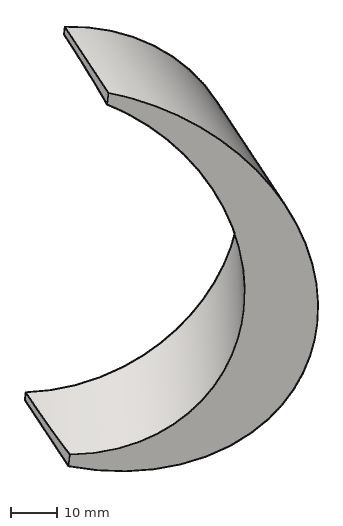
import cadquery as cq
import math

heading = 40
roll = 5.8

overall_height = 88.65
outer_radius = overall_height / (1 + math.cos(math.radians(roll)))
straight_length = 34.6
front_slope = 30

wall = 1.9
bore_radius = outer_radius - wall
bore_lean = 15

crown_length = straight_length + outer_radius * math.tan(math.radians(front_slope))
bore_reach = 2 * crown_length


def half_round_shell():
    """Half cylinder along -Y, round towards +X, with an oblique front face."""
    half_round = (
        cq.Workplane("XZ")
        .moveTo(0, -outer_radius)
        .threePointArc((outer_radius, 0), (0, outer_radius))
        .close()
        .extrude(crown_length)
    )
    side_outline = (
        cq.Workplane("XY")
        .polyline([(0, 0), (outer_radius, 0), (outer_radius, -crown_length), (0, -straight_length)])
        .close()
        .extrude(outer_radius, both=True)
    )
    return half_round.intersect(side_outline)


def leaning_bore():
    """Cylinder through the centre of the back face, leaning towards -X at the front."""
    return (
        cq.Workplane("XZ")
        .circle(bore_radius)
        .extrude(bore_reach, both=True)
        .rotate((0, 0, 0), (0, 0, 1), -bore_lean)
    )


shell = half_round_shell().cut(leaning_bore())
result = shell.rotate((0, 0, 0), (0, 1, 0), roll).rotate((0, 0, 0), (0, 0, 1), heading)